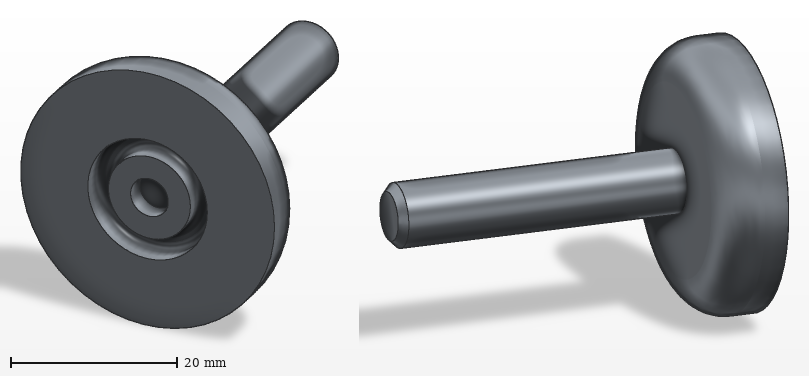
import cadquery as cq

total_length = 45.0

foot_radius = 17.0
foot_height = 8.0
foot_edge_round = 5.0

groove_outer_radius = 8.0
groove_inner_radius = 5.5
groove_floor_round = 1.0
groove_depth = 3.0
boss_recess = 0.5

bore_radius = 2.5

stud_radius = 4.0
stud_chamfer = 1.0
stud_start = groove_depth


def cylinder_along_y(radius, start, end):
    """Solid cylinder on the Y axis between two Y positions."""
    base = cq.Workplane("XZ", origin=(0, start, 0))
    return base.circle(radius).extrude(start - end)


def make_groove():
    """Ring groove with both floor corners rounded."""
    ring = cylinder_along_y(groove_outer_radius, 0, groove_depth).cut(
        cylinder_along_y(groove_inner_radius, 0, groove_depth)
    )
    return ring.faces(">Y").edges().fillet(groove_floor_round)


def make_foot():
    """Rounded disc with the base groove, boss, bore and stud socket."""
    foot = cylinder_along_y(foot_radius, 0, foot_height)
    foot = foot.faces(">Y").edges().fillet(foot_edge_round)
    foot = foot.cut(make_groove())
    foot = foot.cut(cylinder_along_y(groove_inner_radius, 0, boss_recess))
    foot = foot.cut(cylinder_along_y(bore_radius, 0, stud_start))
    return foot.cut(cylinder_along_y(stud_radius, stud_start, foot_height))


def make_stud():
    """Round stud seated in the foot, chamfered at its free end."""
    stud = cylinder_along_y(stud_radius, stud_start, total_length)
    return stud.faces(">Y").edges().chamfer(stud_chamfer)


foot = make_foot()
stud = make_stud()

result = cq.Compound.makeCompound([foot.val(), stud.val()])